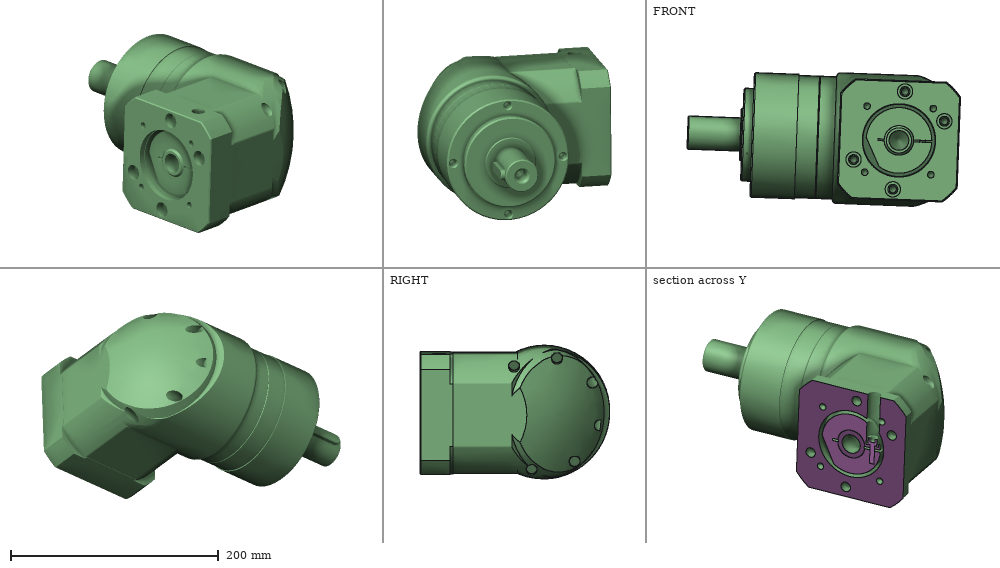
import cadquery as cq
import math

MOUNTING_ANGLE = 2.13

SHAFT_END_X = -203.7
SHOULDER_X = -152.9
PILOT_X = -151.0
FLANGE_X = -141.5
FLANGE_BACK_X = -98.5
JOINT_X = -78.3
LIP_X = -62.2

SHAFT_RADIUS = 16.0
SHAFT_CHAMFER = 1.0
SHOULDER_RADIUS = 25.0
SHOULDER_CHAMFER = 0.8
SHOULDER_LENGTH = 15.8
CENTRE_HOLE_RADIUS = 5.3
CENTRE_HOLE_DEPTH = 18.5
CENTRE_SINK_RADIUS = 7.6
KEY_X = -179.2
KEY_LENGTH = 40.9
KEY_WIDTH = 10.0
KEY_HEIGHT = 8.0
KEY_TOP_Y = 19.5
KEY_CHAMFER = 0.5

PILOT_RADIUS = 44.8
PILOT_CHAMFER = 1.3
FLANGE_RADIUS = 60.0
FLANGE_CHAMFER = 1.3
BAND_RADIUS = 59.0
JOINT_CHAMFER = 0.5
SEAL_RADIUS = 37.5
SEAL_THICKNESS = 5.3
FLANGE_HOLE_COUNT = 4
FLANGE_HOLE_CIRCLE_RADIUS = 54.0
FLANGE_HOLE_RADIUS = 3.5
FLANGE_HOLE_SINK_RADIUS = 4.5
FLANGE_HOLE_DEPTH = 15.8

BARREL_RADIUS = 63.0
LIP_FILLET = 4.0
LEG_RADIUS = 65.0
LEG_HALF_WIDTH = 57.5
LEG_EDGE_FILLET = 4.0
CREST_FILLET = 13.2
CAP_AXIS_ANGLE = 40.0
CAP_AXIS_OFFSET = 5.3
CAP_PEAK = 40.0
CAP_RIDGE_HEIGHT = 29.0
CAP_RIDGE_RADIUS = 56.1
CAP_RIM_HEIGHT = 18.5
CAP_RIM_RADIUS = 61.5
BASE_HEIGHT = 18.5
BASE_RISE = 0.21
BASE_REACH = 237.2
BOLT_HOLE_RADIUS = 5.3
BOLT_CIRCLE_RADIUS = 54.8
BOLT_COUNT = 6
BOLT_FIRST_INDEX = -3
BOLT_REFERENCE_ANGLE = 32.2
BOLT_PITCH_ANGLE = 45.0
BOLT_HOLE_FLOOR_X = -5.3

PLATE_FRONT_Y = -120.0
PLATE_CORNER_BACK_Y = -90.7
PLATE_BACK_Y = -88.0
PLATE_HALF_WIDTH = 57.7
PLATE_CORNER_RADIUS = 72.5
PLATE_CHAMFER = 1.0
CAVITY_RADIUS = 34.8
CAVITY_FLOOR_Y = -91.2
PILOT_BORE_RADIUS = 35.3
PILOT_BORE_DEPTH = 6.5
MOTOR_HOLE_COUNT = 4
MOTOR_HOLE_CIRCLE_RADIUS = 45.0
MOTOR_HOLE_RADIUS = 3.2
MOTOR_HOLE_DEPTH = 18.5
SCREW_HOLE_ANGLES = (25, 85, 205, 265)
SCREW_HOLE_CIRCLE_RADIUS = 47.5
SCREW_COUNTERBORE_RADIUS = 7.5
SCREW_COUNTERBORE_DEPTH = 10.0
SCREW_HOLE_RADIUS = 4.7
SCREW_TAP_RADIUS = 3.5
SCREW_TAP_DEPTH = 15.8

CLAMP_FACE_Y = -110.5
CLAMP_RADIUS = 31.5
CLAMP_FLAT_DISTANCE = 27.7
CLAMP_FLAT_ANGLE = 206
SLIT_WIDTH = 1.8
SHORT_SLIT_REACH = 20.0
SCREW_X = 22.7
SCREW_Y = -101.2
ACCESS_HOLE_RADIUS = 6.5
HEAD_RADIUS = 5.0
HEAD_TOP_Z = 11.9
HEAD_SEAT_Z = 4.0
SHANK_RADIUS = 3.0
SHANK_END_Z = -15.8
SOCKET_ACROSS_CORNERS = 5.8
SOCKET_DEPTH = 4.2
INPUT_RADIUS = 14.2
INPUT_END_Y = -52.7
INPUT_PROUD = 1.5
INPUT_RIM_CHAMFER = 2.0
INPUT_BORE_RADIUS = 9.5
INPUT_BORE_DEPTH = 34.3

DRILL_POINT_ANGLE = 118.0
ALONG_X = cq.Vector(1, 0, 0)
ALONG_Y = cq.Vector(0, 1, 0)
ALONG_Z = cq.Vector(0, 0, 1)


def rod(radius, start, length, direction):
    """Solid cylinder from a start point along a direction."""
    return cq.Workplane(cq.Solid.makeCylinder(radius, length, cq.Vector(*start), direction))


def x_rod(radius, x_start, x_end):
    return rod(radius, (x_start, 0, 0), x_end - x_start, ALONG_X)


def y_rod(radius, y_start, y_end):
    return rod(radius, (0, y_start, 0), y_end - y_start, ALONG_Y)


def drilled_hole(radius, start, depth, direction):
    """Blind hole with a conical drill point below its full depth."""
    point_height = radius / math.tan(math.radians(DRILL_POINT_ANGLE / 2))
    point_start = cq.Vector(*start) + direction * depth
    point = cq.Solid.makeCone(radius, 0, point_height, point_start, direction)
    return rod(radius, start, depth, direction).union(cq.Workplane(point))


def countersink(outer_radius, inner_radius, start, direction):
    """45 degree entry cone of a hole."""
    depth = outer_radius - inner_radius
    return cq.Workplane(cq.Solid.makeCone(outer_radius, inner_radius, depth, cq.Vector(*start), direction))


def on_input_circle(radius, angle, y):
    """Point on a circle about the input axis; the angle runs from +X toward +Z."""
    turn = math.radians(angle)
    return (radius * math.cos(turn), y, radius * math.sin(turn))


def on_output_circle(radius, angle, x):
    """Point on a circle about the output axis; the angle runs from +Y toward +Z."""
    turn = math.radians(angle)
    return (x, radius * math.cos(turn), radius * math.sin(turn))


def make_key():
    key = (
        cq.Workplane("XZ", origin=(KEY_X, KEY_TOP_Y, 0))
        .slot2D(KEY_LENGTH, KEY_WIDTH)
        .extrude(KEY_HEIGHT)
    )
    return key.faces(">Y").chamfer(KEY_CHAMFER)


def make_output_shaft(key):
    journal = x_rod(SHAFT_RADIUS, SHAFT_END_X, SHOULDER_X).faces("<X").chamfer(SHAFT_CHAMFER)
    shoulder = x_rod(SHOULDER_RADIUS, SHOULDER_X, SHOULDER_X + SHOULDER_LENGTH)
    shoulder = shoulder.faces("<X").chamfer(SHOULDER_CHAMFER)
    end = (SHAFT_END_X, 0, 0)
    centre_hole = drilled_hole(CENTRE_HOLE_RADIUS, end, CENTRE_HOLE_DEPTH, ALONG_X)
    sink = countersink(CENTRE_SINK_RADIUS, CENTRE_HOLE_RADIUS, end, ALONG_X)
    return journal.union(shoulder).cut(centre_hole).cut(sink).cut(key)


def make_seal():
    seal_back = PILOT_X + SEAL_THICKNESS
    return x_rod(SEAL_RADIUS, PILOT_X, seal_back).cut(x_rod(SHOULDER_RADIUS, PILOT_X, seal_back))


def make_gearbox_housing():
    pilot = x_rod(PILOT_RADIUS, PILOT_X, FLANGE_X).faces("<X").chamfer(PILOT_CHAMFER)
    flange = x_rod(FLANGE_RADIUS, FLANGE_X, FLANGE_BACK_X).faces("<X").chamfer(FLANGE_CHAMFER)
    band = x_rod(BAND_RADIUS, FLANGE_BACK_X, JOINT_X).faces(">X").chamfer(JOINT_CHAMFER)
    housing = pilot.union(flange).union(band)
    housing = housing.cut(x_rod(SHOULDER_RADIUS, PILOT_X, SHOULDER_X + SHOULDER_LENGTH))
    housing = housing.cut(x_rod(SEAL_RADIUS, PILOT_X, PILOT_X + SEAL_THICKNESS))
    for index in range(FLANGE_HOLE_COUNT):
        angle = index * 360 / FLANGE_HOLE_COUNT
        start = on_output_circle(FLANGE_HOLE_CIRCLE_RADIUS, angle, FLANGE_X)
        housing = housing.cut(drilled_hole(FLANGE_HOLE_RADIUS, start, FLANGE_HOLE_DEPTH, ALONG_X))
        housing = housing.cut(countersink(FLANGE_HOLE_SINK_RADIUS, FLANGE_HOLE_RADIUS, start, ALONG_X))
    return housing


def elbow_cap():
    """Domed body of revolution about a slanting axis in the XY plane that bounds the outer elbow."""
    turn = math.radians(CAP_AXIS_ANGLE)
    across = cq.Vector(math.sin(turn), -math.cos(turn), 0)
    cap_plane = cq.Plane(origin=across * CAP_AXIS_OFFSET, xDir=across, normal=(0, 0, 1))
    crown = CAP_PEAK - CAP_RIDGE_HEIGHT
    dome_radius = (CAP_RIDGE_RADIUS**2 + crown**2) / (2 * crown)
    half_ridge = CAP_RIDGE_RADIUS / 2
    half_height = CAP_PEAK - dome_radius + math.sqrt(dome_radius**2 - half_ridge**2)
    return (
        cq.Workplane(cap_plane)
        .lineTo(0, CAP_PEAK)
        .threePointArc((half_ridge, half_height), (CAP_RIDGE_RADIUS, CAP_RIDGE_HEIGHT))
        .lineTo(CAP_RIM_RADIUS, CAP_RIM_HEIGHT)
        .lineTo(CAP_RIM_RADIUS, 0)
        .close()
        .revolve(360, (0, 0, 0), (0, 1, 0))
    )


def elbow_base():
    """Block below the cap: square to the mitre on the leg side, rising toward the barrel side."""
    mitre_plane = cq.Plane(origin=(0, 0, 0), xDir=(1, -1, 0), normal=(0, 0, 1))
    return (
        cq.Workplane(mitre_plane)
        .moveTo(BASE_REACH, BASE_HEIGHT)
        .lineTo(0, BASE_HEIGHT)
        .lineTo(-BASE_REACH, BASE_HEIGHT + BASE_REACH * BASE_RISE)
        .lineTo(-BASE_REACH, -BASE_REACH)
        .lineTo(BASE_REACH, -BASE_REACH)
        .close()
        .extrude(BASE_REACH, both=True)
    )


def make_angle_housing():
    barrel = x_rod(BARREL_RADIUS, LIP_X, 0).faces("<X").edges().fillet(LIP_FILLET)
    elbow = x_rod(BARREL_RADIUS, 0, LEG_RADIUS)
    elbow = elbow.intersect(y_rod(LEG_RADIUS, PLATE_BACK_Y, LEG_RADIUS))
    elbow = elbow.edges(">X").fillet(CREST_FILLET)
    leg_top_y = -math.sqrt(BARREL_RADIUS**2 - LEG_HALF_WIDTH**2)
    elbow = elbow.intersect(y_rod(2 * LEG_RADIUS, leg_top_y, LEG_RADIUS))

    leg_side = 2 * LEG_HALF_WIDTH
    flats = cq.Workplane("XZ", origin=(0, leg_top_y, 0)).rect(leg_side, leg_side)
    flats = flats.extrude(leg_top_y - PLATE_BACK_Y)
    leg = flats.intersect(y_rod(LEG_RADIUS, PLATE_BACK_Y, leg_top_y))
    leg = leg.edges("|Y").fillet(LEG_EDGE_FILLET)

    outer_limit = cq.Workplane("XY").box(4 * LEG_RADIUS, 4 * LEG_RADIUS, 4 * LEG_RADIUS)
    outer_limit = outer_limit.translate((LEG_HALF_WIDTH - 2 * LEG_RADIUS, 0, 0))
    housing = barrel.union(elbow).union(leg)
    housing = housing.intersect(elbow_cap().union(elbow_base())).intersect(outer_limit)
    neck = x_rod(BAND_RADIUS, JOINT_X, LIP_X).faces("<X").chamfer(JOINT_CHAMFER)
    housing = housing.union(neck)

    for index in range(BOLT_FIRST_INDEX, BOLT_FIRST_INDEX + BOLT_COUNT):
        angle = BOLT_REFERENCE_ANGLE + index * BOLT_PITCH_ANGLE
        start = on_output_circle(BOLT_CIRCLE_RADIUS, angle, BOLT_HOLE_FLOOR_X)
        housing = housing.cut(rod(BOLT_HOLE_RADIUS, start, LEG_RADIUS - BOLT_HOLE_FLOOR_X, ALONG_X))

    for angle in SCREW_HOLE_ANGLES:
        start = on_input_circle(SCREW_HOLE_CIRCLE_RADIUS, angle, PLATE_BACK_Y)
        housing = housing.cut(drilled_hole(SCREW_TAP_RADIUS, start, SCREW_TAP_DEPTH, ALONG_Y))
    return housing.cut(y_rod(INPUT_RADIUS, PLATE_BACK_Y, INPUT_END_Y))


def make_adapter_plate():
    side = 2 * PLATE_HALF_WIDTH
    plate = cq.Workplane("XZ", origin=(0, PLATE_BACK_Y, 0)).rect(side, side)
    plate = plate.extrude(PLATE_BACK_Y - PLATE_FRONT_Y)
    corners = y_rod(PLATE_CORNER_RADIUS, PLATE_FRONT_Y, PLATE_CORNER_BACK_Y)
    collar = y_rod(LEG_RADIUS, PLATE_CORNER_BACK_Y, PLATE_BACK_Y)
    plate = plate.intersect(corners.union(collar)).faces("<Y").chamfer(PLATE_CHAMFER)

    plate = plate.cut(y_rod(CAVITY_RADIUS, PLATE_FRONT_Y, CAVITY_FLOOR_Y))
    plate = plate.cut(y_rod(PILOT_BORE_RADIUS, PLATE_FRONT_Y, PLATE_FRONT_Y + PILOT_BORE_DEPTH))
    plate = plate.cut(y_rod(INPUT_RADIUS, CAVITY_FLOOR_Y, PLATE_BACK_Y))
    for index in range(MOTOR_HOLE_COUNT):
        angle = (index + 0.5) * 360 / MOTOR_HOLE_COUNT
        start = on_input_circle(MOTOR_HOLE_CIRCLE_RADIUS, angle, PLATE_FRONT_Y)
        plate = plate.cut(drilled_hole(MOTOR_HOLE_RADIUS, start, MOTOR_HOLE_DEPTH, ALONG_Y))
    for angle in SCREW_HOLE_ANGLES:
        start = on_input_circle(SCREW_HOLE_CIRCLE_RADIUS, angle, PLATE_FRONT_Y)
        plate = plate.cut(rod(SCREW_COUNTERBORE_RADIUS, start, SCREW_COUNTERBORE_DEPTH, ALONG_Y))
        plate = plate.cut(rod(SCREW_HOLE_RADIUS, start, PLATE_BACK_Y - PLATE_FRONT_Y, ALONG_Y))
    access = rod(ACCESS_HOLE_RADIUS, (SCREW_X, SCREW_Y, 0), PLATE_HALF_WIDTH, ALONG_Z)
    return plate.cut(access)


def make_clamp_screw():
    head = rod(HEAD_RADIUS, (SCREW_X, SCREW_Y, HEAD_SEAT_Z), HEAD_TOP_Z - HEAD_SEAT_Z, ALONG_Z)
    shank = rod(SHANK_RADIUS, (SCREW_X, SCREW_Y, SHANK_END_Z), HEAD_SEAT_Z - SHANK_END_Z, ALONG_Z)
    socket = (
        cq.Workplane("XY", origin=(SCREW_X, SCREW_Y, HEAD_TOP_Z))
        .polygon(6, SOCKET_ACROSS_CORNERS)
        .extrude(-SOCKET_DEPTH)
    )
    return head.union(shank).cut(socket)


def slit(x_start, x_end):
    """Thin radial slot through the clamp ring, in the XY plane."""
    length = CAVITY_FLOOR_Y - CLAMP_FACE_Y
    cutter = cq.Workplane("XY").box(x_end - x_start, length, SLIT_WIDTH)
    return cutter.translate(((x_start + x_end) / 2, CLAMP_FACE_Y + length / 2, 0))


def make_clamp_ring(screw):
    ring = y_rod(CLAMP_RADIUS, CLAMP_FACE_Y, CAVITY_FLOOR_Y)
    flat_offset = CLAMP_FLAT_DISTANCE + CLAMP_RADIUS
    trim = cq.Workplane("XY").box(2 * CLAMP_RADIUS, 8 * CLAMP_RADIUS, 2 * CLAMP_RADIUS)
    trim = trim.translate((flat_offset, 0, 0)).rotate((0, 0, 0), (0, 1, 0), -CLAMP_FLAT_ANGLE)
    ring = ring.cut(trim).cut(y_rod(INPUT_RADIUS, CLAMP_FACE_Y, CAVITY_FLOOR_Y))

    ring = ring.cut(slit(0, CLAMP_RADIUS)).cut(slit(-SHORT_SLIT_REACH, 0))
    spot_face = rod(ACCESS_HOLE_RADIUS, (SCREW_X, SCREW_Y, HEAD_SEAT_Z), CLAMP_RADIUS, ALONG_Z)
    return ring.cut(spot_face).cut(screw)


def make_input_shaft():
    front_y = CLAMP_FACE_Y - INPUT_PROUD
    shaft = y_rod(INPUT_RADIUS, front_y, INPUT_END_Y).faces("<Y").chamfer(INPUT_RIM_CHAMFER)
    return shaft.cut(drilled_hole(INPUT_BORE_RADIUS, (0, front_y, 0), INPUT_BORE_DEPTH, ALONG_Y))


key = make_key()
clamp_screw = make_clamp_screw()
bodies = [
    key,
    make_output_shaft(key),
    make_seal(),
    make_gearbox_housing(),
    make_angle_housing(),
    make_adapter_plate(),
    clamp_screw,
    make_clamp_ring(clamp_screw),
    make_input_shaft(),
]
mounted = [body.rotate((0, 0, 0), (0, 1, 0), MOUNTING_ANGLE) for body in bodies]
result = cq.Compound.makeCompound([body.val() for body in mounted])